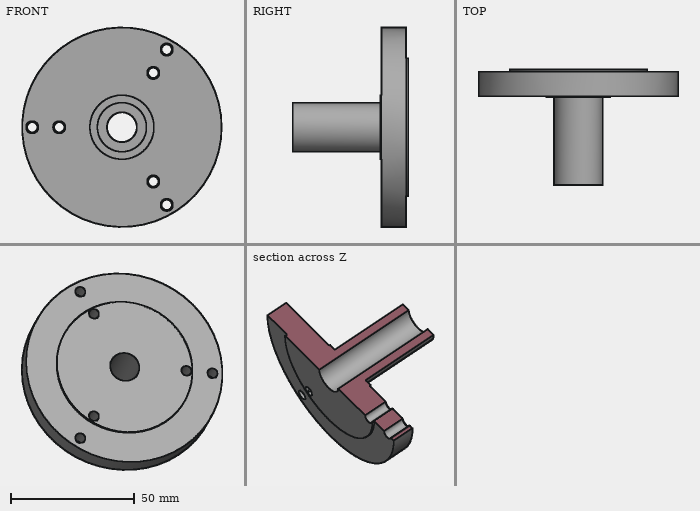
import cadquery as cq

disc_diameter = 81.0
disc_thickness = 10.0
tube_diameter = 19.9
bore_diameter = 12.0
overall_length = 47.0
collar_diameter = 26.0
collar_height = 0.5
back_boss_diameter = 56.0
back_boss_height = 1.0
tube_length = overall_length - disc_thickness - back_boss_height

spoke_count = 3
hole_circle_radii = (25.4, 36.4)
hole_diameter = 4.1
hole_mouth_diameter = 5.0
hole_mouth_depth = 0.1


def cylinder(diameter, y_start, y_end):
    """Solid cylinder on the part axis between two Y positions."""
    plane = cq.Workplane("XZ", origin=(0, y_end, 0))
    return plane.circle(diameter / 2).extrude(y_end - y_start)


def bolt_hole_cutters(radius):
    """Through-hole cutters with shallow counterbored front mouths on one hole circle."""
    front = cq.Workplane("XZ").polarArray(radius, 180, 360, spoke_count)
    drills = front.circle(hole_diameter / 2).extrude(-(disc_thickness + back_boss_height))
    mouths = (
        cq.Workplane("XZ")
        .polarArray(radius, 180, 360, spoke_count)
        .circle(hole_mouth_diameter / 2)
        .extrude(-hole_mouth_depth)
    )
    return drills.union(mouths)


body = cylinder(disc_diameter, 0, disc_thickness)
body = body.union(cylinder(back_boss_diameter, disc_thickness, disc_thickness + back_boss_height))
body = body.union(cylinder(collar_diameter, -collar_height, 0))
body = body.union(cylinder(tube_diameter, -tube_length, 0))

body = body.cut(cylinder(bore_diameter, -tube_length, disc_thickness + back_boss_height))

for circle_radius in hole_circle_radii:
    body = body.cut(bolt_hole_cutters(circle_radius))

result = body